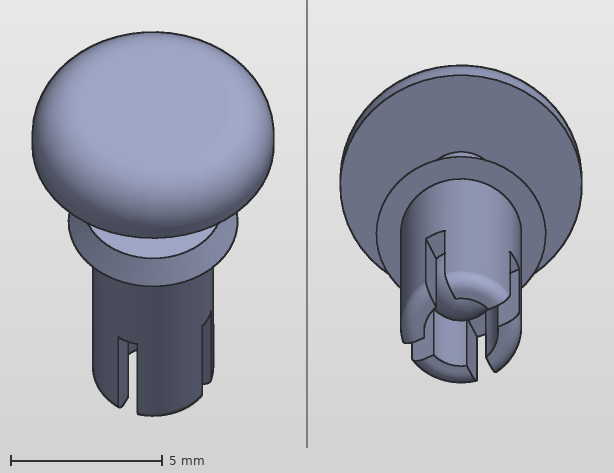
import cadquery as cq


sleeve_diameter = 4.0
sleeve_length = 8.0
tip_radius = 0.5
flange_bottom_diameter = 5.6
flange_top_diameter = 4.6
flange_height = 0.85
slot_width = 0.7
slot_length = 3.95

shank_diameter = 2.45
shank_length = 9.05
shank_tip_radius = 1.0
head_diameter = 8.0
head_height = 2.0
head_edge_radius = 1.5

overall_height = 13.95
sleeve_bottom = -sleeve_length
head_top = sleeve_bottom + overall_height
head_bottom = head_top - head_height


def make_sleeve():
    """Tube with a conical flange, a rounded tip and two crossed slots that leave four legs."""
    tube = (
        cq.Workplane("XY")
        .workplane(offset=sleeve_bottom)
        .circle(sleeve_diameter / 2)
        .extrude(sleeve_length)
        .faces("<Z")
        .edges()
        .fillet(tip_radius)
    )
    flange = (
        cq.Workplane("XY")
        .circle(flange_bottom_diameter / 2)
        .workplane(offset=flange_height)
        .circle(flange_top_diameter / 2)
        .loft(ruled=True)
    )
    bore = (
        cq.Workplane("XY")
        .workplane(offset=sleeve_bottom)
        .circle(shank_diameter / 2)
        .extrude(sleeve_length + flange_height)
    )
    body = tube.union(flange).cut(bore)

    slot = (
        cq.Workplane("XY")
        .workplane(offset=sleeve_bottom)
        .rect(sleeve_diameter, slot_width)
        .extrude(slot_length)
    )
    for angle in (0, 90):
        body = body.cut(slot.rotate((0, 0, 0), (0, 0, 1), angle))
    return body


def make_pin():
    """Shank with a rounded end under a head with a large rounded top edge."""
    head = (
        cq.Workplane("XY")
        .workplane(offset=head_bottom)
        .circle(head_diameter / 2)
        .extrude(head_height)
        .faces(">Z")
        .edges()
        .fillet(head_edge_radius)
    )
    shank = (
        cq.Workplane("XY")
        .workplane(offset=head_bottom)
        .circle(shank_diameter / 2)
        .extrude(-shank_length)
        .faces("<Z")
        .edges()
        .fillet(shank_tip_radius)
    )
    return head.union(shank)


sleeve = make_sleeve()
pin = make_pin()
result = cq.Compound.makeCompound([sleeve.solids().val(), pin.solids().val()])